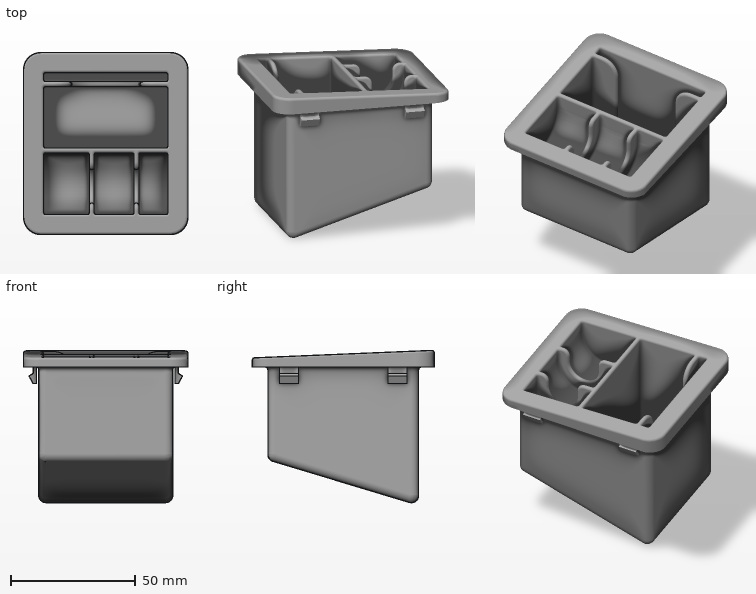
import cadquery as cq
import math

flange_x = 66.2
flange_y = 73.25
flange_corner = 7.0
flange_mid_height = 5.3
top_slope = 2.4
edge_round = 1.0

body_x = 54.05
body_y = 60.7
body_round = 3.0
body_front_depth = 37.3
bottom_slope = 16.8

wall = 2.05
partition = 2.0
lip_flat = 0.015
lip_round = (partition - lip_flat) / 2
inner_round = 0.8
half_partition = partition / 2

cavity_half_x = body_x / 2 - wall
cavity_back = 28.5
cavity_front = -28.6
pocket_depth = 43.2
back_partition_y = 23.9
middle_partition_y = -2.8
rib_positions = (-5.65, 12.3)

trough_back = middle_partition_y - half_partition
trough_axis_y = (trough_back + cavity_front) / 2
trough_axis_z = -1.75
trough_radius = (trough_back - cavity_front) / 2

rib_notch_y = -17.2
rib_notch_radius = 6.75
rib_notch_round = 3.0

notch_half_width = 13.85
notch_depth = 36.6
notch_round = 7.0

clip_inner_x = 27.75
clip_thickness = 1.5
clip_length = 6.7
barb_reach = 1.7
barb_top = 2.5
barb_tip = 3.6
clip_width = 7.7
clip_y = 21.8

overlap = 0.7
tall = 87.9
near = 0.1

top_rise = math.tan(math.radians(top_slope))
bottom_rise = math.tan(math.radians(bottom_slope))


def top_z(y):
    """Height of the sloping flange top at a given Y."""
    return flange_mid_height + y * top_rise


def bottom_z(y):
    """Height of the sloping outer bottom at a given Y."""
    return -body_front_depth - (y + body_y / 2) * bottom_rise


def make_side_prism(points, width):
    """Extrude a closed (Y, Z) outline symmetrically about X = 0."""
    return cq.Workplane("YZ").polyline(points).close().extrude(width / 2, both=True)


def make_flange():
    half_y = flange_y / 2
    outline = [(-half_y, 0), (half_y, 0), (half_y, top_z(half_y)), (-half_y, top_z(-half_y))]
    flange = make_side_prism(outline, flange_x).edges("|Z").fillet(flange_corner)
    return flange.faces(">Z").edges().fillet(edge_round)


def make_body():
    half_y = body_y / 2
    outline = [
        (-half_y, overlap),
        (half_y, overlap),
        (half_y, bottom_z(half_y)),
        (-half_y, bottom_z(-half_y)),
    ]
    body = make_side_prism(outline, body_x).edges("|Z").fillet(body_round)
    return body.faces("<Z").edges().fillet(body_round)


def make_shell_blank():
    """Flange and body joined with a small round under the flange."""
    blank = make_flange().union(make_body())
    root = cq.selectors.BoxSelector(
        (-body_x / 2 - near, -body_y / 2 - near, -near),
        (body_x / 2 + near, body_y / 2 + near, near),
    )
    return blank.edges(root).fillet(edge_round)


def make_deep_pocket(y_front, y_back, rounded_floor_edges):
    """Vertical-walled pocket with a flat floor and rounded corners."""
    pocket = cq.Workplane("XY").box(
        2 * cavity_half_x, y_back - y_front, tall, centered=(True, False, False)
    )
    pocket = pocket.edges(rounded_floor_edges).fillet(inner_round)
    return pocket.translate((0, y_front, -pocket_depth))


def make_u_prism(x_start, x_end, axis_y, radius):
    """Upright U-shaped prism along X, its round bottom centred at the trough axis height."""
    return (
        cq.Workplane("YZ")
        .workplane(offset=x_start)
        .moveTo(axis_y - radius, tall)
        .lineTo(axis_y - radius, trough_axis_z)
        .threePointArc((axis_y, trough_axis_z - radius), (axis_y + radius, trough_axis_z))
        .lineTo(axis_y + radius, tall)
        .close()
        .extrude(x_end - x_start)
    )


def make_trough(x_start, x_end):
    """Front compartment with a half-round floor and softened end corners."""
    trough = make_u_prism(x_start, x_end, trough_axis_y, trough_radius)
    return trough.edges("%CIRCLE or (|Z and (<X or >X))").fillet(inner_round)


def make_finger_notch():
    """Prism through the back partition, rounded at its two lower corners."""
    notch = cq.Workplane("XY").box(
        2 * notch_half_width, 2 * partition, tall, centered=(True, True, False)
    )
    notch = notch.edges("|Y and <Z").fillet(notch_round)
    return notch.translate((0, back_partition_y, -notch_depth))


def make_rib_notch(x):
    """U-shaped notch through one rib."""
    return make_u_prism(x - partition, x + partition, rib_notch_y, rib_notch_radius)


def make_clip(side, y):
    """Snap clip hanging from the flange, its barb pointing outwards."""
    outer_x = clip_inner_x + clip_thickness
    outline = [
        (clip_inner_x, overlap),
        (outer_x, overlap),
        (outer_x, -barb_top),
        (outer_x + barb_reach, -barb_tip),
        (outer_x, -clip_length),
        (clip_inner_x, -clip_length),
    ]
    points = [(side * x, z) for x, z in outline]
    clip = cq.Workplane("XZ").polyline(points).close().extrude(clip_width / 2, both=True)
    return clip.translate((0, y, 0))


def round_notch_mouth(part, x, y, radius):
    """Round the edge where a notch side breaks through the partition top at (x, y)."""
    z = top_z(y)
    mouth = cq.selectors.BoxSelector((x - near, y - near, z - near), (x + near, y + near, z + near))
    return part.edges(mouth).fillet(radius)


def is_lip_edge(edge):
    """True for the compartment rims on the flange top and along the notches."""
    center = edge.Center()
    inside_x = abs(center.x) < cavity_half_x + near
    inside_y = cavity_front - near < center.y < cavity_back + near
    from_back_partition = abs(center.y - back_partition_y)
    from_rib = min(abs(center.x - x) for x in rib_positions)
    crosses_partition = from_back_partition < near or from_rib < near
    if crosses_partition or not (inside_x and inside_y):
        return False

    on_top = abs(center.z - top_z(center.y)) < near
    on_finger_notch = (
        abs(from_back_partition - half_partition) < near
        and abs(center.x) < notch_half_width + notch_round
        and center.z > -notch_depth - near
    )
    on_rib_notch = (
        abs(from_rib - half_partition) < near
        and abs(center.y - rib_notch_y) < rib_notch_radius + rib_notch_round
        and center.z > trough_axis_z - rib_notch_radius
    )
    return on_top or on_finger_notch or on_rib_notch


result = make_shell_blank()

result = result.cut(make_deep_pocket(back_partition_y + half_partition, cavity_back, "|Z or <Z"))
result = result.cut(
    make_deep_pocket(
        middle_partition_y + half_partition, back_partition_y - half_partition, "|Z or (<Z and (not <Y))"
    )
)

trough_starts = [-cavity_half_x] + [x + half_partition for x in rib_positions]
trough_ends = [x - half_partition for x in rib_positions] + [cavity_half_x]
for x_start, x_end in zip(trough_starts, trough_ends):
    result = result.cut(make_trough(x_start, x_end))

result = result.cut(make_finger_notch())
for side in (-1, 1):
    result = round_notch_mouth(result, side * notch_half_width, back_partition_y, notch_round)
for x in rib_positions:
    result = result.cut(make_rib_notch(x))
    for side in (-1, 1):
        result = round_notch_mouth(result, x, rib_notch_y + side * rib_notch_radius, rib_notch_round)

lip_edges = [edge for edge in result.edges().vals() if is_lip_edge(edge)]
result = result.newObject(lip_edges).fillet(lip_round)

for side in (-1, 1):
    for y in (-clip_y, clip_y):
        result = result.union(make_clip(side, y))